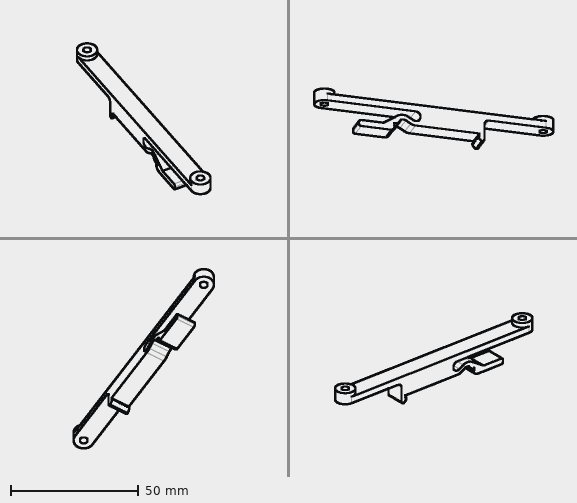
import cadquery as cq
import math

length = 98.0
width = 8.0
height = 14.2

boss_radius = width / 2
boss_x = length / 2 - boss_radius
hole_diameter = 3.0
boss_rise = 2.1
bar_thickness = 2.9
bar_top = height - boss_rise
bar_bottom = bar_top - bar_thickness

body_left = -19.7
body_bottom = 3.1
body_fillet = 1.8
hook_inner_x = -17.6
hook_tip_x = -17.1
hook_end_radius = 1.1
barb_top = 2.2
barb_tip = 1.9
barb_radius = 2.9

slot_radius = 2.1
slot_center_x = 8.7
slot_center_z = bar_bottom - slot_radius
arm_thickness = slot_center_z - slot_radius - body_bottom
root_outer_radius = slot_radius + arm_thickness
crest_x = 13.8
crest_top = 7.1
crest_radius = 4.2
crest_center_z = crest_top - crest_radius
crest_inner_radius = crest_radius - arm_thickness

shoulder_x = 14.7
shoulder_radius = 2.3
latch_inner_x = 17.4
latch_tip_x = 16.9
latch_bottom_x = 18.5
tongue_start_x = 22.0
tongue_end_x = 31.9
tongue_thickness = 2.6
tongue_rounding = 0.9


def on_circle(center_x, center_z, radius, degrees):
    angle = math.radians(degrees)
    return center_x + radius * math.cos(angle), center_z + radius * math.sin(angle)


def root_point(radius, degrees):
    return on_circle(slot_center_x, slot_center_z, radius, degrees)


def crest_point(radius, degrees):
    return on_circle(crest_x, crest_center_z, radius, degrees)


def rise_angle():
    """Slope, in degrees, of the arm between its two opposite bends."""
    dx = crest_x - slot_center_x
    dz = crest_center_z - slot_center_z
    tangent_ratio = (slot_radius + crest_radius) / math.hypot(dx, dz)
    return math.degrees(math.asin(tangent_ratio) + math.atan2(dz, dx))


def fall_angle():
    """Normal direction, in degrees, where the ramp to the tongue leaves the crest."""
    dx = tongue_start_x - crest_x
    dz = tongue_thickness - crest_center_z
    return math.degrees(math.atan2(dz, dx) + math.acos(crest_radius / math.hypot(dx, dz)))


def make_bar():
    bar = cq.Workplane("XY").box(2 * boss_x, width, bar_thickness, centered=(True, True, False))
    bar = bar.translate((0, 0, bar_bottom))
    bosses = (
        cq.Workplane("XY", origin=(0, 0, bar_bottom))
        .pushPoints([(-boss_x, 0), (boss_x, 0)])
        .circle(boss_radius)
        .extrude(height - bar_bottom)
    )
    return bar.union(bosses)


def make_clip():
    rise = rise_angle()
    fall = fall_angle()
    root_end = rise - 90
    crest_start = rise + 90
    root_mid = (root_end - 90) / 2
    shoulder_z = crest_center_z + math.sqrt(crest_inner_radius**2 - (shoulder_x - crest_x) ** 2)
    shoulder_angle = math.degrees(math.acos((shoulder_x - crest_x) / crest_inner_radius))
    shoulder_center_z = body_bottom + shoulder_radius
    shoulder_dz = shoulder_z - shoulder_center_z
    shoulder_center_x = shoulder_x + math.sqrt(shoulder_radius**2 - shoulder_dz**2)
    shoulder_mid = on_circle(shoulder_center_x, shoulder_center_z, shoulder_radius, 225)

    outline = (
        cq.Workplane("XZ", origin=(0, width / 2, 0))
        .moveTo(body_left - body_fillet, bar_bottom)
        .radiusArc((body_left, bar_bottom - body_fillet), body_fillet)
        .lineTo(body_left, hook_end_radius)
        .radiusArc((body_left + hook_end_radius, 0), -hook_end_radius)
        .radiusArc((hook_tip_x, barb_tip), -barb_radius)
        .lineTo(hook_inner_x, barb_top)
        .lineTo(hook_inner_x, body_bottom)
        .lineTo(slot_center_x, body_bottom)
        .threePointArc(root_point(root_outer_radius, root_mid), root_point(root_outer_radius, root_end))
        .lineTo(*crest_point(crest_inner_radius, crest_start))
        .threePointArc(
            crest_point(crest_inner_radius, (crest_start + shoulder_angle) / 2),
            (shoulder_x, shoulder_z),
        )
        .threePointArc(shoulder_mid, (shoulder_center_x, body_bottom))
        .lineTo(latch_inner_x, body_bottom)
        .lineTo(latch_inner_x, barb_top)
        .lineTo(latch_tip_x, barb_tip)
        .radiusArc((latch_bottom_x, 0), -barb_radius)
        .lineTo(tongue_end_x - tongue_rounding, 0)
        .radiusArc((tongue_end_x, tongue_rounding), -tongue_rounding)
        .lineTo(tongue_end_x, tongue_thickness - tongue_rounding)
        .radiusArc((tongue_end_x - tongue_rounding, tongue_thickness), -tongue_rounding)
        .lineTo(tongue_start_x, tongue_thickness)
        .lineTo(*crest_point(crest_radius, fall))
        .threePointArc(
            crest_point(crest_radius, (fall + crest_start) / 2),
            crest_point(crest_radius, crest_start),
        )
        .lineTo(*root_point(slot_radius, root_end))
        .threePointArc(root_point(slot_radius, 180), (slot_center_x, bar_bottom))
        .lineTo(slot_center_x, bar_top)
        .lineTo(body_left - body_fillet, bar_top)
        .close()
    )
    return outline.extrude(width)


def make_holes():
    return (
        cq.Workplane("XY", origin=(0, 0, bar_bottom))
        .pushPoints([(-boss_x, 0), (boss_x, 0)])
        .circle(hole_diameter / 2)
        .extrude(height - bar_bottom)
    )


result = make_bar().union(make_clip()).cut(make_holes())